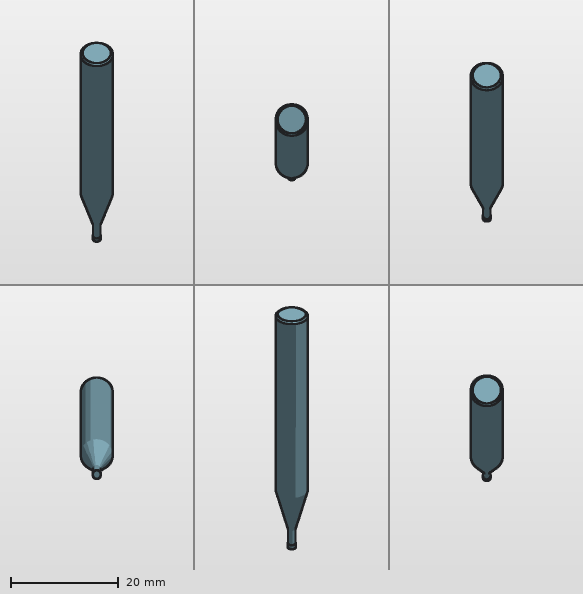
import cadquery as cq

total_length = 50.0
shank_diameter = 6.0
shank_chamfer = 0.4

tip_diameter = 1.5
tip_length = 0.9
tip_corner_radius = 0.1
neck_diameter = 1.4
neck_top = 3.9
taper_top = 12.3


def make_shank():
    """Chamfered shank that tapers down to a slim neck above the cutting tip."""
    shank_radius = shank_diameter / 2
    neck_radius = neck_diameter / 2
    profile = (
        cq.Workplane("XZ")
        .moveTo(0, tip_length)
        .lineTo(neck_radius, tip_length)
        .lineTo(neck_radius, neck_top)
        .lineTo(shank_radius, taper_top)
        .lineTo(shank_radius, total_length - shank_chamfer)
        .lineTo(shank_radius - shank_chamfer, total_length)
        .lineTo(0, total_length)
        .close()
    )
    return profile.revolve(360, (0, 0, 0), (0, 1, 0))


def make_cutting_tip():
    """Short cylindrical tip with a rounded lower corner, seated against the neck."""
    tip = cq.Workplane("XY").circle(tip_diameter / 2).extrude(tip_length)
    return tip.faces("<Z").edges().fillet(tip_corner_radius)


shank = make_shank()
cutting_tip = make_cutting_tip()

result = cq.Compound.makeCompound([shank.val(), cutting_tip.val()])